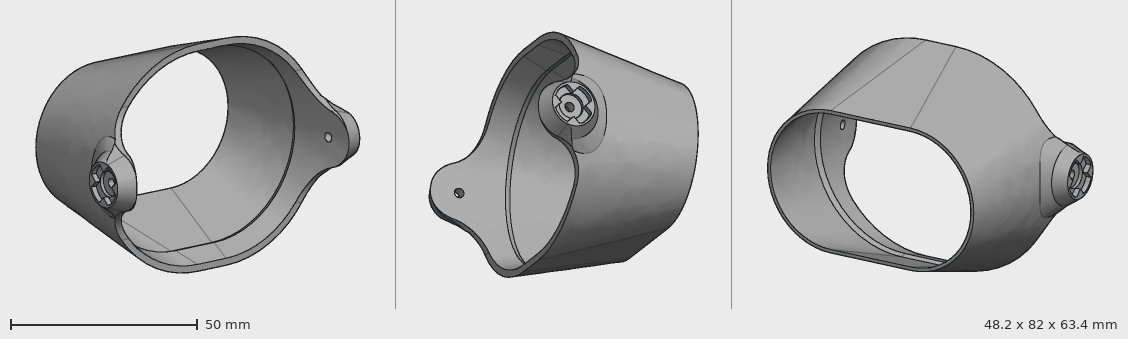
import cadquery as cq
import math

overall_width = 82.0
overall_height = 63.4
sleeve_length = 34.4
small_radius = 20.25
large_radius = overall_height / 2
small_half_flat = 12.8
large_half_flat = 4.8
taper_extension = 16.4
thin_wall = 1.0
thick_wall = 2.0
step_start = 25.4
step_length = 1.6
step_end = step_start + step_length

boss_x = 40.0
boss_face_radius = 6.2
boss_base_radius = 8.2
boss_height = 5.25
boss_face_y = overall_width / 2
boss_base_y = boss_face_y - boss_height

neck_radius = 8.7
neck_y = 37.5
foot_radius = 12.1
foot_x = 35.6
foot_y = 33.6
core_y = 29.5

fillet_radius = 11.1
fillet_x = sleeve_length + fillet_radius
fillet_z = math.sqrt((fillet_radius + boss_base_radius) ** 2 - (fillet_x - boss_x) ** 2)

hub_radius = 3.5
hub_depth = 2.7
pocket_radius = 5.6
pocket_width = hub_radius * math.sqrt(2)
pocket_depth = 1.6
pin_hole_radius = 1.3


def stadium(x, wall):
    """Stadium wire across X, inset from the outer surface by the wall."""
    along = x / sleeve_length
    radius = small_radius + (large_radius - small_radius) * along - wall
    half_flat = small_half_flat + (large_half_flat - small_half_flat) * along
    outline = (
        cq.Workplane("YZ", origin=(x, 0, 0))
        .moveTo(-half_flat, radius)
        .lineTo(half_flat, radius)
        .threePointArc((half_flat + radius, 0), (half_flat, -radius))
        .lineTo(-half_flat, -radius)
        .threePointArc((-half_flat - radius, 0), (-half_flat, radius))
        .close()
    )
    return outline.val()


def tapered_solid(x_start, wall_start, x_end, wall_end):
    wires = [stadium(x_start, wall_start), stadium(x_end, wall_end)]
    return cq.Workplane(cq.Solid.makeLoft(wires, True))


def bore():
    far_end = sleeve_length + taper_extension
    entry = tapered_solid(0, thin_wall, step_start, thin_wall)
    ramp = tapered_solid(step_start, thin_wall, step_end, thick_wall)
    exit_part = tapered_solid(step_end, thick_wall, far_end, thick_wall)
    return entry.union(ramp).union(exit_part)


def y_cone(x, z, base_radius, face_radius):
    return cq.Workplane(
        cq.Solid.makeCone(
            base_radius, face_radius, boss_height, cq.Vector(x, boss_base_y, z), cq.Vector(0, 1, 0)
        )
    )


def y_cylinder(x, z, radius, y_start, y_end):
    return cq.Workplane("XZ", origin=(x, y_start, z)).circle(radius).extrude(y_start - y_end)


def y_circle(x, radius, y):
    return cq.Wire.makeCircle(radius, cq.Vector(x, y, 0), cq.Vector(0, 1, 0))


def flare():
    face = y_circle(boss_x, boss_face_radius, boss_face_y)
    neck = y_circle(boss_x, neck_radius, neck_y)
    foot = y_circle(foot_x, foot_radius, foot_y)
    upper = cq.Workplane(cq.Solid.makeLoft([neck, face], True))
    return upper.union(cq.Workplane(cq.Solid.makeLoft([foot, neck], True)))


def neck_region():
    """Prism that stops at the lines joining the boss axis to the fillet axes."""
    back_x = foot_x - foot_radius
    return (
        cq.Workplane("XZ", origin=(0, boss_face_y, 0))
        .polyline([
            (back_x, -fillet_z), (fillet_x, -fillet_z), (boss_x, 0),
            (fillet_x, fillet_z), (back_x, fillet_z),
        ])
        .close()
        .extrude(overall_width)
    )


def fillet_cutter(z):
    """Rounds the neck; it widens outward to stay tangent to the boss cone."""
    face_fillet_radius = fillet_radius + boss_base_radius - boss_face_radius
    straight = y_cylinder(fillet_x, z, fillet_radius, 0, boss_base_y)
    return straight.union(y_cone(fillet_x, z, fillet_radius, face_fillet_radius))


def boss():
    base = y_cylinder(boss_x, 0, boss_base_radius, core_y, boss_base_y)
    return base.union(y_cone(boss_x, 0, boss_base_radius, boss_face_radius))


def face_recess():
    pocket_floor = boss_face_y - pocket_depth
    ring = y_cylinder(boss_x, 0, pocket_radius, pocket_floor, boss_face_y)
    ring = ring.cut(y_cylinder(boss_x, 0, hub_radius, pocket_floor, boss_face_y))
    slots = cq.Workplane("XZ", origin=(boss_x, boss_face_y, 0))
    slots = slots.transformed(rotate=(0, 0, 45))
    slot = slots.rect(2 * pocket_radius, pocket_width).extrude(pocket_depth)
    cross = slot.union(slots.rect(pocket_width, 2 * pocket_radius).extrude(pocket_depth))
    hub = y_cylinder(boss_x, 0, hub_radius, boss_face_y - hub_depth, boss_face_y)
    pin_hole = y_cylinder(boss_x, 0, pin_hole_radius, core_y, boss_face_y)
    return ring.intersect(cross).union(hub).union(pin_hole)


outer_taper = tapered_solid(0, 0, sleeve_length + taper_extension, 0)
sleeve_region = cq.Workplane("YZ").rect(overall_width, overall_width).extrude(sleeve_length)
body = outer_taper.intersect(sleeve_region.union(neck_region()))

one_flare = flare().intersect(neck_region())
body = body.union(one_flare).union(one_flare.mirror("XZ"))

for side_z in (-fillet_z, fillet_z):
    cutter = fillet_cutter(side_z)
    body = body.cut(cutter).cut(cutter.mirror("XZ"))

one_boss = boss()
body = body.union(one_boss).union(one_boss.mirror("XZ")).cut(bore())

recess = face_recess()
result = body.cut(recess).cut(recess.mirror("XZ"))